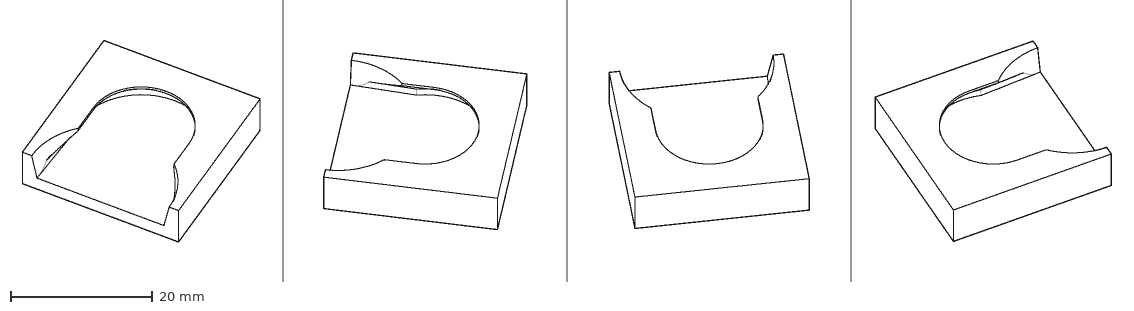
import cadquery as cq

plate_side = 25.0
plate_height = 6.4
front_y = -plate_side / 2

slot_depth = 4.15
wall_height = 1.21
undercut_radius = 10.15
ceiling_rise = 2.5
lip_radius = undercut_radius - ceiling_rise

run_half_width_front = undercut_radius
run_half_width_rear = 9.6

lead_in_floor_radius = undercut_radius
lead_in_top_radius = 11.0

floor_z = plate_height - slot_depth
wall_top_z = floor_z + wall_height
lip_z = wall_top_z + ceiling_rise


def half_profile(half_width):
    """Points of the slot section on one side, from floor to top face."""
    return [
        (half_width, floor_z),
        (half_width, wall_top_z),
        (lip_radius, lip_z),
        (lip_radius, plate_height),
    ]


def revolved_pocket():
    """Round undercut end of the slot, about the Z axis."""
    points = [(0, floor_z), *half_profile(undercut_radius), (0, plate_height)]
    return cq.Workplane("XZ").polyline(points).close().revolve(360, (0, 0), (0, 1))


def slot_section(half_width):
    """Closed symmetric outline of the slot across X."""
    right_side = half_profile(half_width)
    left_side = [(-x, z) for x, z in reversed(right_side)]
    return right_side + left_side


def straight_run():
    """Flared slot from the pocket centre out through the front face."""
    return (
        cq.Workplane("XZ")
        .polyline(slot_section(run_half_width_rear))
        .close()
        .workplane(offset=-front_y)
        .polyline(slot_section(run_half_width_front))
        .close()
        .loft(ruled=True)
    )


def lead_in():
    """Cone that widens the slot mouth at the front edge."""
    cone = cq.Solid.makeCone(
        lead_in_floor_radius, lead_in_top_radius, slot_depth, pnt=cq.Vector(0, front_y, floor_z)
    )
    return cq.Workplane(obj=cone)


plate = cq.Workplane("XY").box(plate_side, plate_side, plate_height, centered=(True, True, False))
result = plate.cut(revolved_pocket()).cut(straight_run()).cut(lead_in())